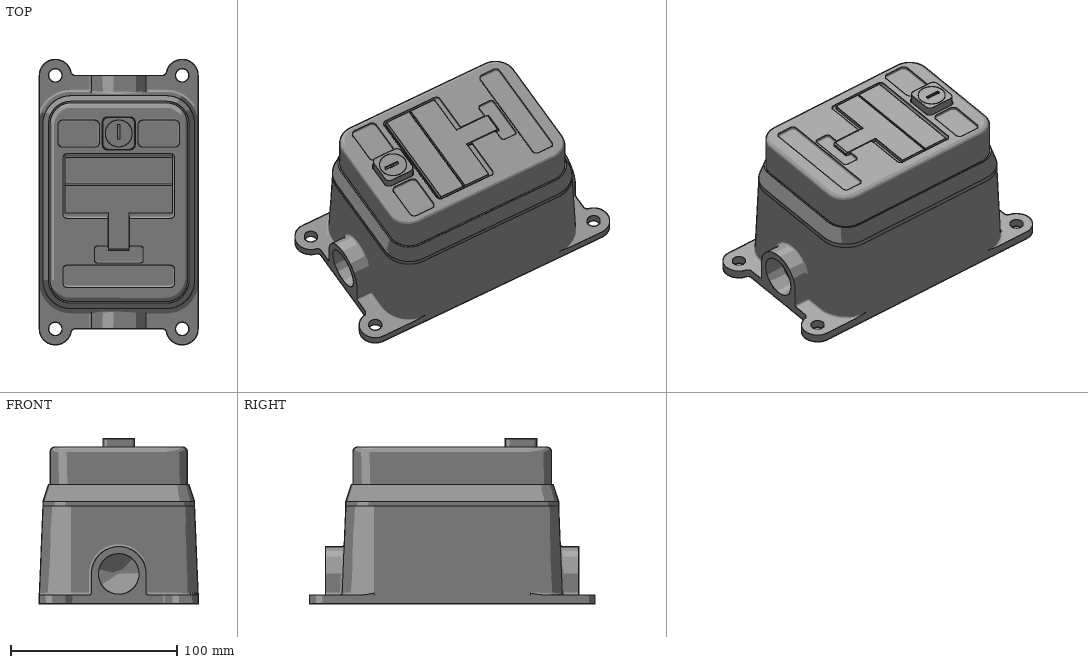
import cadquery as cq
import math

plate_top = 5.4
wall_top = 58.8
band_top = 61.5
shoulder_top = 71.7
head_top = 94.32
button_top = 99.31

corner_x = 28.575
corner_y = 47.0
head_reach = 12.7
ledge_reach = 13.65
band_reach = 17.0
head_edge_radius = 3.175

plate_width = 95.55
ear_x = 38.1
plate_length = 171.66
ear_radius = plate_width / 2 - ear_x
ear_y = plate_length / 2 - ear_radius
ear_hole_radius = 3.95
ear_blend_radius = 2.54
plate_end_y = ear_y
wall_foot_reach = plate_width / 2 - corner_x
foot_fillet = 1.27

entry_z = 17.95
entry_boss_radius = 16.45
entry_hole_radius = 12.2
entry_hole_depth = 12.5
drill_point_angle = 118
boss_root_y = 50.0

recess_floor = head_top - 2.2
panel_half_width = 33.55
panel_corner = 2.5
panel_floor_radius = 1.0
label_inner_x = 11.6
label_outer_x = 36.6
label_x_ranges = ((-label_outer_x, -label_inner_x), (label_inner_x, label_outer_x))
label_y = (33.1, 49.3)
label_corner = 3.0
label_floor_radius = 0.5
strip_y = (-51.2, -37.9)
finger_half_width = 14.65
finger_y = (-36.5, -26.4)
finger_corner = 1.8
finger_floor_radius = 0.7

clearance = 0.4
handle_recess_y = (-9.7, 29.1)
handle_half_width = panel_half_width - panel_floor_radius - clearance
handle_y = (-6.5, handle_recess_y[1] - panel_floor_radius - clearance)
panel_split_y = 11.0
panel_bevel = 0.9
panel_bevel_depth = 1.3
stem_bevel = 0.9
stem_half_width = 6.05
stem_end_y = -28.9

button_y = 41.3
button_size = 19.05
button_corner = 3.175
button_seat_depth = 3.0
key_face_radius = 8.1
key_face_depth = 0.1
key_slot = (1.7, 8.7)
key_slot_y = 42.2
key_slot_depth = 1.0


def rounded_block(reach, z_low, z_high, top_reach=None):
    """Rounded-rectangle block, tapering evenly to top_reach when one is given."""
    height = z_high - z_low
    taper = 0 if top_reach is None else math.degrees(math.atan((reach - top_reach) / height))
    outline = cq.Sketch().rect(2 * (corner_x + reach), 2 * (corner_y + reach)).vertices().fillet(reach)
    return cq.Workplane("XY", origin=(0, 0, z_low)).placeSketch(outline).extrude(height, taper=taper)


def block(x_range, y_range, z_range):
    size = [high - low for low, high in (x_range, y_range, z_range)]
    return cq.Workplane("XY", origin=(x_range[0], y_range[0], z_range[0])).box(*size, centered=False)


def plate_outline(height):
    """Prism with the plate's outline: a rectangle with four blended ears."""
    ear_points = [(x, y) for x in (-ear_x, ear_x) for y in (-ear_y, ear_y)]
    prism = cq.Workplane("XY").rect(plate_width, 2 * plate_end_y).extrude(height)
    ears = cq.Workplane("XY").pushPoints(ear_points).circle(ear_radius).extrude(height)
    inner_x = ear_x - ear_radius
    notch = cq.selectors.BoxSelector((-inner_x - 1, -plate_end_y - 1, -1),
                                     (inner_x + 1, plate_end_y + 1, height + 1))
    return prism.union(ears).edges("|Z").edges(notch).fillet(ear_blend_radius)


def entry_boss(end, length_y):
    """Arched boss on the end wall; end is -1 or 1."""
    span = length_y - boss_root_y
    arch = cq.Workplane("XZ", origin=(0, end * (length_y if end > 0 else boss_root_y), 0))
    arch = arch.center(0, entry_z).circle(entry_boss_radius).extrude(span)
    y_range = sorted((end * boss_root_y, end * length_y))
    legs = block((-entry_boss_radius, entry_boss_radius), y_range, (0, entry_z))
    return arch.union(legs)


def entry_hole(end):
    """Blind drilled hole with a conical bottom, opening on the boss face."""
    point = entry_hole_radius / math.tan(math.radians(drill_point_angle / 2))
    mouth = end * plate_end_y
    bottom = mouth - end * entry_hole_depth
    tip = bottom - end * point
    profile = cq.Workplane("YZ").moveTo(mouth, entry_z).lineTo(mouth, entry_z - entry_hole_radius)
    profile = profile.lineTo(bottom, entry_z - entry_hole_radius).lineTo(tip, entry_z).close()
    return profile.revolve(360, (0, entry_z, 0), (1, entry_z, 0))


def make_housing():
    wall = rounded_block(wall_foot_reach, plate_top, wall_top, band_reach)

    slab_half = 1.5 * ear_y
    blended = block((-slab_half, slab_half), (-slab_half, slab_half), (0, plate_top)).union(wall)
    for end in (-1, 1):
        blended = blended.union(entry_boss(end, slab_half - ear_radius))

    def is_root(edge):
        box = edge.BoundingBox()
        on_plate = box.zmin > plate_top - 0.01 and box.zmax < plate_top + 0.01
        inside = max(abs(box.ymin), abs(box.ymax)) < slab_half - 0.01
        on_wall = (min(abs(box.ymin), abs(box.ymax)) > corner_y + band_reach - 0.01
                   and max(abs(box.ymin), abs(box.ymax)) < corner_y + wall_foot_reach + 0.01
                   and max(abs(box.xmin), abs(box.xmax)) < entry_boss_radius + 0.01
                   and box.zmax < wall_top - 0.01)
        return inside and (on_plate or on_wall)

    roots = blended.edges().filter(is_root)
    blended = roots.fillet(foot_fillet)
    outline = plate_outline(wall_top)
    middle = block((-slab_half, slab_half), (-corner_y, corner_y), (0, wall_top))
    blended_ends = blended.intersect(outline).cut(middle)
    plain_middle = plate_outline(plate_top).union(wall).intersect(middle)
    housing = blended_ends.union(plain_middle)
    for end in (-1, 1):
        housing = housing.cut(entry_hole(end))
    holes = cq.Workplane("XY").rect(2 * ear_x, 2 * ear_y, forConstruction=True).vertices()
    return housing.cut(holes.circle(ear_hole_radius).extrude(plate_top))


def recess(x_range, y_range, corner, floor_radius):
    """Cutter for a rounded recess in the top of the head, with a radius around its floor."""
    cutter = block(x_range, y_range, (recess_floor, head_top)).edges("|Z").fillet(corner)
    return cutter.faces("<Z").edges().fillet(floor_radius)


def button_block(size, z_low, z_high):
    base = cq.Workplane("XY", origin=(0, button_y, z_low)).rect(size, size).extrude(z_high - z_low)
    return base.edges("|Z").fillet(button_corner)


def make_cover():
    band = rounded_block(band_reach, wall_top, band_top)
    shoulder = rounded_block(band_reach, band_top, shoulder_top, ledge_reach)
    head = rounded_block(head_reach, shoulder_top, head_top).faces(">Z").edges().fillet(head_edge_radius)
    cover = band.union(shoulder).union(head)
    panel_x = (-panel_half_width, panel_half_width)
    finger_x = (-finger_half_width, finger_half_width)
    for label_x in label_x_ranges:
        cover = cover.cut(recess(label_x, label_y, label_corner, label_floor_radius))
    cover = cover.cut(recess(panel_x, strip_y, panel_corner, panel_floor_radius))
    cover = cover.cut(recess(finger_x, finger_y, finger_corner, finger_floor_radius))
    cover = cover.cut(recess(panel_x, handle_recess_y, panel_corner, panel_floor_radius))
    channel_half = stem_half_width + clearance
    cover = cover.cut(block((-channel_half, channel_half), (stem_end_y, handle_y[0]),
                            (recess_floor, head_top)))
    return cover.cut(button_block(button_size + 2 * clearance, head_top - button_seat_depth, head_top))


def make_handle():
    """Two bevelled panels and a stem on one plate, flush with the head."""
    y_low, y_high = handle_y
    panels = (cq.Workplane("YZ", origin=(-handle_half_width, 0, 0))
              .moveTo(y_low, recess_floor).lineTo(y_high, recess_floor)
              .lineTo(y_high, head_top - panel_bevel_depth).lineTo(y_high - panel_bevel, head_top)
              .lineTo(panel_split_y, head_top).lineTo(panel_split_y, head_top - panel_bevel_depth)
              .lineTo(panel_split_y - panel_bevel, head_top).lineTo(y_low, head_top).close()
              .extrude(2 * handle_half_width))
    stem = block((-stem_half_width, stem_half_width), (stem_end_y, y_low), (recess_floor, head_top))
    stem = stem.faces("<Y").edges(">Z").chamfer(stem_bevel)
    return panels.union(stem)


def make_button():
    button = button_block(button_size, head_top - button_seat_depth, button_top)
    key_face = cq.Workplane("XY", origin=(0, button_y, button_top)).circle(key_face_radius)
    slot = cq.Workplane("XY", origin=(0, key_slot_y, button_top)).rect(*key_slot)
    return button.cut(key_face.extrude(-key_face_depth)).cut(slot.extrude(-key_slot_depth))


housing = make_housing()
cover = make_cover()
handle = make_handle()
button = make_button()
result = cq.Compound.makeCompound([housing.val(), cover.val(), handle.val(), button.val()])